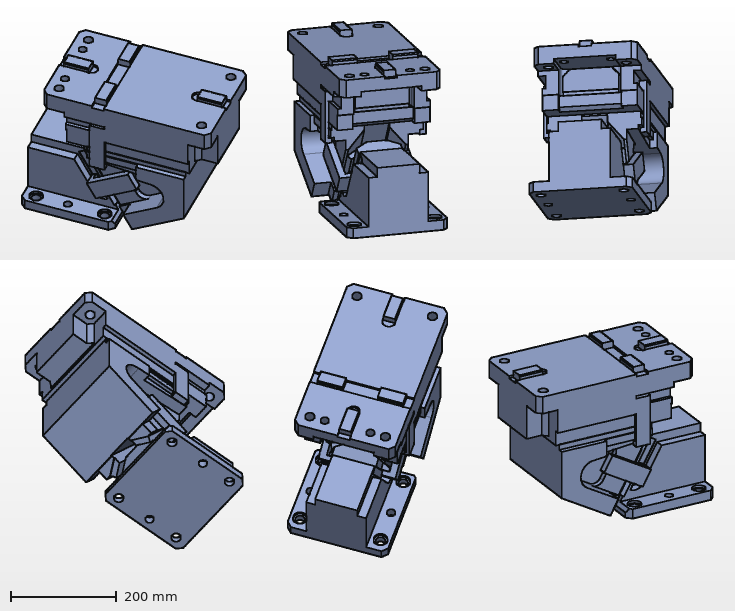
import cadquery as cq
import math

LENGTH = 385.0
WIDTH = 200.0
HEIGHT = 309.0
HALF_WIDTH = WIDTH / 2
CORNER_CHAMFER = 10.0
BOLT_DIAMETER = 18.0
DOWEL_DIAMETER = 15.8

SLOPE = 30.0
COS_SLOPE = math.cos(math.radians(SLOPE))
SIN_SLOPE = math.sin(math.radians(SLOPE))
FAR = 770.0

FLANK_ANGLE = 30.0
FLANK_TAN = math.tan(math.radians(FLANK_ANGLE))
FLANK_COS = math.cos(math.radians(FLANK_ANGLE))
FLANK_SIN = math.sin(math.radians(FLANK_ANGLE))
SLIDER_SOLE_REACH = 182.0
FLANK_OUTER_Y = 57.0
FLANK_INNER_Y = 25.0
WEAR_PLATE_THICKNESS = 12.0

FLANGE_LENGTH = 189.8
FLANGE_HEIGHT = 20.0
BLOCK_WIDTH = 119.0
BLOCK_HALF_WIDTH = BLOCK_WIDTH / 2
SHOULDER_HEIGHT = 117.0
UPPER_HALF_WIDTH = 42.0
BLOCK_HEIGHT = 135.0
BLOCK_FACE_REACH = 160.0
FOOT_FACE_REACH = 169.8
RIDGE_HALF_WIDTH = 44.0
RIDGE_TOP_HALF_WIDTH = 20.0
RIDGE_TOP_RISE = 57.8
RIDGE_BOTTOM_RISE = -63.5
WIDE_RIDGE_TOP_RISE = -4.0
GROOVE_RADIUS = 20.0
GROOVE_END_RISE = -26.5
RELIEF_WIDTH = 15.0
RELIEF_HALF_WIDTH = 41.0
FLANGE_HOLE_Y = 80.0
FLANGE_BOLT_XS = (25.0, 164.8)
FLANGE_DOWEL_X = 89.7
COUNTERBORE_DIAMETER = 26.5
COUNTERBORE_DEPTH = 5.0

CLAW_START_REACH = 150.0
CLAW_END_REACH = 246.8
CLAW_TOP_RISE = 7.0
CLAW_BOTTOM_RISE = -30.0
CLAW_OUTER_Y = 76.5
CLAW_TOOTH_INNER_Y = 49.0

SLIDER_LEFT_X = 133.2
SLIDER_RIGHT_X = 333.5
SLIDER_TOP_Z = 187.0
NECK_BOTTOM_Z = 175.0
NECK_HALF_WIDTH = 89.7
GUIDE_RAIL_BOTTOM_Z = 160.0
GUIDE_RAIL_HALF_WIDTH = 92.0
WEB_HALF_WIDTH = 85.0
WEB_CUT_BOTTOM_Z = 138.5
CHEEK_LEFT_X = 236.0
CHEEK_FOOT_REACH = 206.0
CHEEK_FOOT_RISE = -99.5
SOLE_END_RISE = -94.7
CHANNEL_REACH = 207.0
SIDE_WALL_Y = 62.5
LOWER_WALL_Y = 67.0
SLOT_RADIUS = 29.3
SLOT_END_REACH = 283.7
SLOT_END_RISE = -34.3
SLOT_ROOF_ANGLE = 5.0
DEEP_POCKET_REACH = 230.5
DEEP_POCKET_Y = 51.0
DEEP_POCKET_RADIUS = 17.0
WEAR_PLATE_TOP_RISE = 32.5
WEAR_PLATE_BOTTOM_RISE = -91.5

PLATE_LEFT_X = 45.0
PLATE_BOTTOM_Z = 265.0
PLATE_TOP_Z = 300.0
BODY_LEFT_X = 89.7
BODY_RIGHT_X = 342.0
BODY_BOTTOM_Z = 216.8
LOWER_LEFT_X = 91.5
LEDGE_Z = 230.0
STRAP_LEFT_X = 141.3
STRAP_RIGHT_X = 171.7
STRAP_BOTTOM_Z = 148.0
STRAP_TOP_Z = 249.5
STRAP_INNER_Y = 93.5
STRAP_SEAT_TOP_Z = 255.0
HOOK_TOP_Z = 157.5
HOOK_INNER_Y = 87.0
CAVITY_HALF_WIDTH = 60.0
CAVITY_TOP_Z = 274.0
CAVITY_BACK_X = 119.5
CAVITY_FILLET = 10.0
BOSS_HALF_WIDTH = 54.0
BOSS_TOP_Z = 268.0
BOSS_CHAMFER = 13.0
BOSS_FOOT_TOP_Z = 224.0
BOSS_FOOT_SETBACK = 2.0
LIP_HALF_WIDTH = 61.2
LIP_FACE_X = 100.5
BOSS_FACE_X = LIP_FACE_X
LIP_CHAMFER = 7.5
TAIL_BOTTOM_Z = 196.0
TAIL_HALF_WIDTH = 55.0
TAIL_FLARE = 10.0

KEY_WIDTH = 24.5
KEY_LENGTH = 50.0
KEY_SLOT_DEPTH = 4.5
KEY_CHAMFER_SIDE = 1.0
KEY_CHAMFER_DOWN = 3.0
LONG_SLOT_LENGTH = 73.5
LEFT_KEY_X = 79.7
RIGHT_KEY_X = 351.0
CROSS_SLOT_X = 158.2
CROSS_KEY_Y = 60.0
PLATE_BOLT_XS = (70.0, 360.0)
PLATE_BOLT_Y = 75.0
PLATE_DOWEL_Y = 45.5


def incline(reach, rise):
    """X and Z of a point given along the inclined directions."""
    return (
        reach * COS_SLOPE - rise * SIN_SLOPE,
        reach * SIN_SLOPE + rise * COS_SLOPE,
    )


def z_at(x, reach):
    """Z at which the inclined face of constant reach crosses the given X."""
    return (reach - x * COS_SLOPE) / SIN_SLOPE


def x_at(z, reach):
    """X at which the inclined face of constant reach crosses the given Z."""
    return (reach - z * SIN_SLOPE) / COS_SLOPE


def box(x_range, y_range, z_range):
    size = [high - low for low, high in (x_range, y_range, z_range)]
    corner = (x_range[0], y_range[0], z_range[0])
    return cq.Workplane("XY").box(*size, centered=False).translate(corner)


def both_sides(solid):
    """The solid together with its mirror image across the middle plane."""
    return solid.union(solid.mirror("XZ"))


def centred_prism(points, half_width):
    """An XZ outline extruded evenly to both sides of the middle plane."""
    return cq.Workplane("XZ").polyline(points).close().extrude(half_width, both=True)


def side_prism(points, inner_y, outer_y):
    """An XZ outline extruded on the -Y side between two distances from the middle."""
    plane = cq.Workplane("XZ", origin=(0, -inner_y, 0))
    return plane.polyline(points).close().extrude(outer_y - inner_y)


def side_disc(centre, radius, inner_y, outer_y):
    plane = cq.Workplane("XZ", origin=(0, -inner_y, 0))
    return plane.center(*centre).circle(radius).extrude(outer_y - inner_y)


def incline_rectangle(reaches, rises):
    return [
        incline(reaches[0], rises[0]),
        incline(reaches[1], rises[0]),
        incline(reaches[1], rises[1]),
        incline(reaches[0], rises[1]),
    ]


def slide_prism(points, bottom_rise, top_rise):
    """A section of (distance towards -Y, reach) points, extruded along the inclined sliding direction."""
    start_x, start_z = incline(0, bottom_rise)
    plane = cq.Plane(
        origin=(start_x, 0, start_z),
        xDir=(0, -1, 0),
        normal=(-SIN_SLOPE, 0, COS_SLOPE),
    )
    return cq.Workplane(plane).polyline(points).close().extrude(top_rise - bottom_rise)


def mirrored_section(half):
    """Closes a half section, given from its outer foot to its top, across y = 0."""
    return half + [(-y, reach) for y, reach in reversed(half)]


def slider_flank(y):
    return SLIDER_SOLE_REACH + (FLANK_OUTER_Y - y) * FLANK_TAN


def base_flank(y):
    return slider_flank(y) - WEAR_PLATE_THICKNESS / FLANK_COS


def base_flange():
    flange = box((0, FLANGE_LENGTH), (-HALF_WIDTH, HALF_WIDTH), (0, FLANGE_HEIGHT))
    flange = flange.edges("|Z").chamfer(CORNER_CHAMFER)
    bolt_points = [(x, side * FLANGE_HOLE_Y) for x in FLANGE_BOLT_XS for side in (-1, 1)]
    dowel_points = [(FLANGE_DOWEL_X, side * FLANGE_HOLE_Y) for side in (-1, 1)]
    top = cq.Workplane("XY", origin=(0, 0, FLANGE_HEIGHT))
    bolts = top.pushPoints(bolt_points).circle(BOLT_DIAMETER / 2).extrude(-FLANGE_HEIGHT)
    dowels = top.pushPoints(dowel_points).circle(DOWEL_DIAMETER / 2).extrude(-FLANGE_HEIGHT)
    bores = top.pushPoints(bolt_points).circle(COUNTERBORE_DIAMETER / 2).extrude(-COUNTERBORE_DEPTH)
    foot_clearance = centred_prism(
        incline_rectangle((FOOT_FACE_REACH, FAR), (-FAR, FAR)), HALF_WIDTH
    )
    return flange.cut(bolts).cut(dowels).cut(bores).cut(foot_clearance)


def base_block():
    foot = incline(FOOT_FACE_REACH, RIDGE_BOTTOM_RISE)
    face_bottom = incline(BLOCK_FACE_REACH, RIDGE_BOTTOM_RISE)
    lower = centred_prism(
        [
            (0, 0),
            (FLANGE_LENGTH - CORNER_CHAMFER, 0),
            (x_at(FLANGE_HEIGHT, FOOT_FACE_REACH), FLANGE_HEIGHT),
            foot,
            face_bottom,
            (x_at(SHOULDER_HEIGHT, BLOCK_FACE_REACH), SHOULDER_HEIGHT),
            (0, SHOULDER_HEIGHT),
        ],
        BLOCK_HALF_WIDTH,
    )
    upper = centred_prism(
        [
            (0, 0),
            (face_bottom[0], 0),
            face_bottom,
            (x_at(BLOCK_HEIGHT, BLOCK_FACE_REACH), BLOCK_HEIGHT),
            (0, BLOCK_HEIGHT),
        ],
        UPPER_HALF_WIDTH,
    )
    return lower.cut(claw_grooves()).union(upper).cut(claw_reliefs())


def groove_outline(width, inner_y, outer_y, top_rise):
    """A run along the ridge's back, ended by the groove's round bottom."""
    strip = side_prism(
        incline_rectangle((BLOCK_FACE_REACH - width, BLOCK_FACE_REACH), (-FAR, top_rise)),
        inner_y,
        outer_y,
    )
    straight = side_prism(
        incline_rectangle((-FAR, FAR), (GROOVE_END_RISE, FAR)), inner_y, outer_y
    )
    end = side_disc(incline(BLOCK_FACE_REACH, GROOVE_END_RISE), GROOVE_RADIUS, inner_y, outer_y)
    return strip.intersect(straight.union(end))


def claw_grooves():
    return both_sides(groove_outline(GROOVE_RADIUS, UPPER_HALF_WIDTH, HALF_WIDTH, FAR))


def claw_reliefs():
    return both_sides(groove_outline(RELIEF_WIDTH, RELIEF_HALF_WIDTH, HALF_WIDTH, RIDGE_TOP_RISE))


def guide_ridge():
    def section(half_width):
        return mirrored_section([
            (half_width, BLOCK_FACE_REACH),
            (half_width, base_flank(half_width)),
            (RIDGE_TOP_HALF_WIDTH, base_flank(RIDGE_TOP_HALF_WIDTH)),
        ])

    narrow = slide_prism(section(RIDGE_HALF_WIDTH), RIDGE_BOTTOM_RISE, RIDGE_TOP_RISE)
    wide = slide_prism(section(BLOCK_HALF_WIDTH), RIDGE_BOTTOM_RISE, WIDE_RIDGE_TOP_RISE)
    return narrow.union(wide)


def make_base():
    return base_flange().union(base_block()).union(guide_ridge())


def slider_blank():
    return centred_prism(
        [
            (SLIDER_LEFT_X, SLIDER_TOP_Z),
            (SLIDER_LEFT_X, z_at(SLIDER_LEFT_X, SLIDER_SOLE_REACH)),
            incline(SLIDER_SOLE_REACH, SOLE_END_RISE),
            incline(CHEEK_FOOT_REACH, SOLE_END_RISE),
            incline(CHEEK_FOOT_REACH, CHEEK_FOOT_RISE),
            (SLIDER_RIGHT_X, (SLIDER_RIGHT_X * SIN_SLOPE + CHEEK_FOOT_RISE) / COS_SLOPE),
            (SLIDER_RIGHT_X, SLIDER_TOP_Z),
        ],
        HALF_WIDTH,
    )


def rail_clearance():
    """Space beside the guide rails, and beside the neck above them."""
    neck = box((0, LENGTH), (NECK_HALF_WIDTH, FAR), (NECK_BOTTOM_Z, SLIDER_TOP_Z))
    rail = box((0, CHEEK_LEFT_X), (GUIDE_RAIL_HALF_WIDTH, FAR), (GUIDE_RAIL_BOTTOM_Z, NECK_BOTTOM_Z))
    web = box((0, CHEEK_LEFT_X), (WEB_HALF_WIDTH, FAR), (WEB_CUT_BOTTOM_Z, GUIDE_RAIL_BOTTOM_Z))
    return both_sides(neck.union(rail).union(web))


def slot_corners(left_x, left_reach):
    """Straight part of the slot: from the roof's left end round to the crown of the round end."""
    centre_x, centre_z = incline(SLOT_END_REACH, SLOT_END_RISE)
    roof = math.radians(SLOT_ROOF_ANGLE)
    crown_z = centre_z + SLOT_RADIUS
    floor_rise = SLOT_END_RISE - SLOT_RADIUS
    return [
        (left_x, crown_z + (centre_x - left_x) * math.tan(roof)),
        incline(left_reach, floor_rise),
        incline(SLOT_END_REACH, floor_rise),
        (centre_x, centre_z),
        (centre_x, crown_z),
    ]


def cheek_slots():
    """Round-ended slots that house the claws, open towards the base."""
    centre = incline(SLOT_END_REACH, SLOT_END_RISE)
    slot = side_prism(slot_corners(0, 0), SIDE_WALL_Y, HALF_WIDTH)
    slot = slot.union(side_disc(centre, SLOT_RADIUS, SIDE_WALL_Y, HALF_WIDTH))
    foot = side_prism(
        incline_rectangle((0, CHEEK_FOOT_REACH), (-FAR, SLOT_END_RISE)), LOWER_WALL_Y, HALF_WIDTH
    )
    return both_sides(slot.union(foot))


def deep_pockets():
    """Deeper, round-cornered inner ends of the slots."""
    roof = math.radians(SLOT_ROOF_ANGLE)
    roof_z_at_origin = slot_corners(0, 0)[0][1]
    left_x = (DEEP_POCKET_REACH - roof_z_at_origin * SIN_SLOPE) / (COS_SLOPE - math.tan(roof) * SIN_SLOPE)
    corners = slot_corners(left_x, DEEP_POCKET_REACH)
    pocket = side_prism(corners, DEEP_POCKET_Y, HALF_WIDTH)
    middle_y = -(DEEP_POCKET_Y + HALF_WIDTH) / 2
    for x, z in corners[:2]:
        corner = cq.selectors.NearestToPointSelector((x, middle_y, z))
        pocket = pocket.edges(corner).fillet(DEEP_POCKET_RADIUS)
    end = side_disc(incline(SLOT_END_REACH, SLOT_END_RISE), SLOT_RADIUS, DEEP_POCKET_Y, HALF_WIDTH)
    return both_sides(pocket.union(end))


def roof_clearance():
    """Roof-shaped underside with a flat channel along its middle."""
    section = mirrored_section([
        (FLANK_OUTER_Y, 0),
        (FLANK_OUTER_Y, SLIDER_SOLE_REACH),
        (FLANK_INNER_Y, slider_flank(FLANK_INNER_Y)),
        (FLANK_INNER_Y, CHANNEL_REACH),
    ])
    return slide_prism(section, -FAR, FAR)


def wear_plates():
    """Plates lying on the flanks, running on the base's ridge."""
    plate = slide_prism(
        [
            (FLANK_OUTER_Y, SLIDER_SOLE_REACH),
            (
                FLANK_OUTER_Y - WEAR_PLATE_THICKNESS * FLANK_SIN,
                SLIDER_SOLE_REACH - WEAR_PLATE_THICKNESS * FLANK_COS,
            ),
            (FLANK_INNER_Y, base_flank(FLANK_INNER_Y)),
            (FLANK_INNER_Y, slider_flank(FLANK_INNER_Y)),
        ],
        WEAR_PLATE_BOTTOM_RISE,
        WEAR_PLATE_TOP_RISE,
    )
    return both_sides(plate)


def claws():
    rises = (CLAW_BOTTOM_RISE, CLAW_TOP_RISE)
    bar = side_prism(
        incline_rectangle((CLAW_START_REACH, CLAW_END_REACH), rises), SIDE_WALL_Y, CLAW_OUTER_Y
    )
    tooth = side_prism(
        incline_rectangle((CLAW_START_REACH, BLOCK_FACE_REACH), rises), CLAW_TOOTH_INNER_Y, CLAW_OUTER_Y
    )
    return both_sides(bar.union(tooth))


def make_slider():
    slider = slider_blank().cut(rail_clearance()).cut(cheek_slots()).cut(deep_pockets())
    return slider.cut(roof_clearance()).union(wear_plates()).union(claws())


def holder_plate():
    plate = box((PLATE_LEFT_X, LENGTH), (-HALF_WIDTH, HALF_WIDTH), (PLATE_BOTTOM_Z, PLATE_TOP_Z))
    return plate.edges("|Z").chamfer(CORNER_CHAMFER)


def holder_body():
    body = box((BODY_LEFT_X, BODY_RIGHT_X), (-HALF_WIDTH, HALF_WIDTH), (BODY_BOTTOM_Z, PLATE_BOTTOM_Z))
    seat = box((0, STRAP_RIGHT_X), (WEB_HALF_WIDTH, FAR), (LEDGE_Z, STRAP_SEAT_TOP_Z))
    side = box((0, STRAP_RIGHT_X), (GUIDE_RAIL_HALF_WIDTH, FAR), (BODY_BOTTOM_Z, LEDGE_Z))
    lower = box(
        (LOWER_LEFT_X, BODY_RIGHT_X),
        (-GUIDE_RAIL_HALF_WIDTH, GUIDE_RAIL_HALF_WIDTH),
        (SLIDER_TOP_Z, BODY_BOTTOM_Z),
    )
    lip_gap = centred_prism(
        [
            (0, SLIDER_TOP_Z),
            (LIP_FACE_X + LIP_CHAMFER, SLIDER_TOP_Z),
            (LIP_FACE_X, SLIDER_TOP_Z + LIP_CHAMFER),
            (LIP_FACE_X, BODY_BOTTOM_Z),
            (0, BODY_BOTTOM_Z),
        ],
        LIP_HALF_WIDTH,
    )
    return body.cut(both_sides(seat.union(side))).union(lower.cut(lip_gap))


def front_cavity():
    y_range = (-CAVITY_HALF_WIDTH, CAVITY_HALF_WIDTH)
    cavity = box((0, CAVITY_BACK_X), y_range, (BODY_BOTTOM_Z, CAVITY_TOP_Z))
    return cavity.edges("|Z and >X").fillet(CAVITY_FILLET)


def cavity_boss():
    y_range = (-BOSS_HALF_WIDTH, BOSS_HALF_WIDTH)
    boss = box((BOSS_FACE_X, CAVITY_BACK_X), y_range, (BODY_BOTTOM_Z, BOSS_TOP_Z))
    boss = boss.edges("|X and >Z").chamfer(BOSS_CHAMFER)
    foot_gap = box(
        (BOSS_FACE_X, BOSS_FACE_X + BOSS_FOOT_SETBACK),
        y_range,
        (BODY_BOTTOM_Z, BOSS_FOOT_TOP_Z),
    )
    return boss.cut(foot_gap)


def tail_block():
    """Block below the plate's right end, flared where it meets the body."""
    half = [
        (BODY_RIGHT_X, TAIL_HALF_WIDTH + TAIL_FLARE),
        (BODY_RIGHT_X + TAIL_FLARE, TAIL_HALF_WIDTH),
        (LENGTH, TAIL_HALF_WIDTH),
    ]
    outline = half + [(x, -y) for x, y in reversed(half)]
    plane = cq.Workplane("XY", origin=(0, 0, TAIL_BOTTOM_Z))
    return plane.polyline(outline).close().extrude(PLATE_BOTTOM_Z - TAIL_BOTTOM_Z)


def straps():
    """Hooked straps that carry the slider's guide rails."""
    x_range = (STRAP_LEFT_X, STRAP_RIGHT_X)
    strap = box(x_range, (STRAP_INNER_Y, HALF_WIDTH), (STRAP_BOTTOM_Z, STRAP_TOP_Z))
    top = box(x_range, (WEB_HALF_WIDTH, HALF_WIDTH), (LEDGE_Z, STRAP_TOP_Z))
    hook = box(x_range, (HOOK_INNER_Y, HALF_WIDTH), (STRAP_BOTTOM_Z, HOOK_TOP_Z))
    return both_sides(strap.union(top).union(hook))


def key_slots():
    slot_bottom = PLATE_TOP_Z - KEY_SLOT_DEPTH
    half = KEY_WIDTH / 2
    cross_range = (CROSS_SLOT_X - half, CROSS_SLOT_X + half)
    slots = box(cross_range, (-HALF_WIDTH, HALF_WIDTH), (slot_bottom, PLATE_TOP_Z))
    left_end = PLATE_LEFT_X + LONG_SLOT_LENGTH
    right_end = LENGTH - LONG_SLOT_LENGTH
    for open_x, round_x in ((PLATE_LEFT_X, left_end - half), (LENGTH, right_end + half)):
        x_range = (min(open_x, round_x), max(open_x, round_x))
        run = box(x_range, (-half, half), (slot_bottom, PLATE_TOP_Z))
        end = cq.Workplane("XY", origin=(round_x, 0, slot_bottom)).circle(half).extrude(KEY_SLOT_DEPTH)
        slots = slots.union(run).union(end)
    return slots


def key():
    """One key along X, its long top edges bevelled, standing on the slot floor."""
    half = KEY_WIDTH / 2
    section = [
        (half, PLATE_TOP_Z - KEY_SLOT_DEPTH),
        (half, HEIGHT - KEY_CHAMFER_DOWN),
        (half - KEY_CHAMFER_SIDE, HEIGHT),
    ]
    outline = section + [(-y, z) for y, z in reversed(section)]
    return cq.Workplane("YZ").polyline(outline).close().extrude(KEY_LENGTH / 2, both=True)


def keys():
    all_keys = key().translate((LEFT_KEY_X, 0, 0)).union(key().translate((RIGHT_KEY_X, 0, 0)))
    cross_key = key().rotate((0, 0, 0), (0, 0, 1), 90)
    for side in (-1, 1):
        all_keys = all_keys.union(cross_key.translate((CROSS_SLOT_X, side * CROSS_KEY_Y, 0)))
    return all_keys


def plate_holes():
    top = cq.Workplane("XY", origin=(0, 0, PLATE_TOP_Z))
    depth = PLATE_TOP_Z - PLATE_BOTTOM_Z
    bolt_points = [(x, side * PLATE_BOLT_Y) for x in PLATE_BOLT_XS for side in (-1, 1)]
    dowel_points = [(PLATE_BOLT_XS[0], side * PLATE_DOWEL_Y) for side in (-1, 1)]
    bolts = top.pushPoints(bolt_points).circle(BOLT_DIAMETER / 2).extrude(-depth)
    dowels = top.pushPoints(dowel_points).circle(DOWEL_DIAMETER / 2).extrude(-depth)
    return bolts.union(dowels)


def make_holder():
    holder = holder_plate().union(holder_body()).cut(front_cavity()).union(cavity_boss())
    holder = holder.union(tail_block()).union(straps())
    return holder.cut(plate_holes()).cut(key_slots()).union(keys())


base = make_base()
slider = make_slider()
holder = make_holder()

result = cq.Compound.makeCompound([
    base.solids().val(),
    slider.solids().val(),
    holder.solids().val(),
])